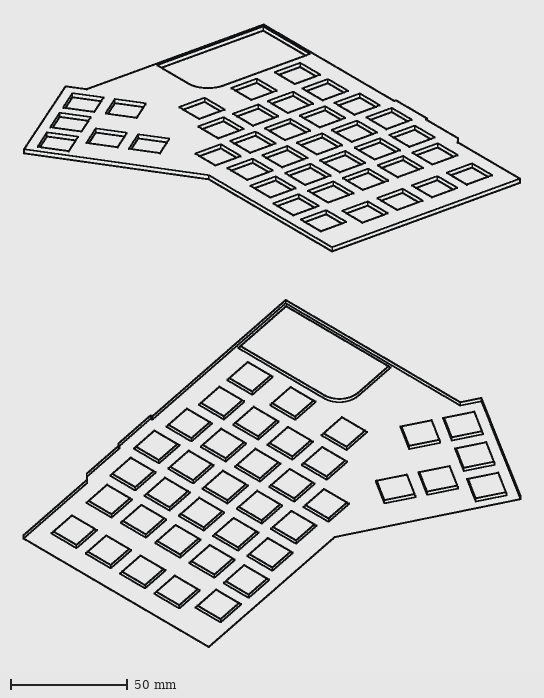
import cadquery as cq
import math

thickness = 2.0
key_pitch = 19.0
switch_size = 14.0

left_x = 7.7
right_x = 188.5
top_y = 152.7
right_top_y = 150.2
bottom_y = 47.3
step_start_x = 142.7
step_end_x = step_start_x + top_y - right_top_y

tab_left_x = 98.2
tab_right_x = 120.0
tab_top_y = 153.6

thumb_tilt = 35.0
thumb_tip_x = 34.9
wing_left_y = 50.3
wing_notch_y = wing_left_y + left_x * math.tan(math.radians(thumb_tilt))
wing_knee_x = 103.0

window_left_x = 9.0
window_right_x = 41.5
window_top_y = 151.3
window_bottom_y = 93.3
window_radius = 10.5

middle_x = 109.7
middle_top_y = 140.8
inner_column_x = 52.4
column_stagger = 2.5
long_key_pitch = 1.25 * key_pitch
tall_key_pitch = 1.5 * key_pitch
first_thumb_key = (16.5, 47.0)


def main_key_centres():
    """Centres of the upright switch cutouts."""
    side_top_y = middle_top_y - 2 * column_stagger
    outer_x = middle_x + 2 * key_pitch + long_key_pitch

    columns = [(-2, 2, 4), (-1, 1, 5), (0, 0, 5), (1, 1, 5), (2, 2, 5)]
    centres = []
    for offset, steps, count in columns:
        x = middle_x + offset * key_pitch
        column_top_y = middle_top_y - steps * column_stagger
        centres += [(x, column_top_y - row * key_pitch) for row in range(count)]

    centres += [(outer_x, side_top_y - row * key_pitch) for row in range(4)]
    centres.append((middle_x + 3 * key_pitch, side_top_y - 4 * key_pitch))

    inner_second_y = side_top_y - long_key_pitch
    centres.append((inner_column_x, side_top_y))
    centres.append((inner_column_x, inner_second_y))
    centres.append((inner_column_x, inner_second_y - tall_key_pitch))
    return centres


def thumb_key_centres():
    """Centres of the tilted switch cutouts, laid out on a rotated key grid."""
    grid = [(0, 0), (1, 0), (0, -1), (0, -2), (1, -1.5), (2, -1.5)]
    cos_tilt = math.cos(math.radians(thumb_tilt))
    sin_tilt = math.sin(math.radians(thumb_tilt))
    first_x, first_y = first_thumb_key
    return [
        (
            first_x + key_pitch * (across * cos_tilt - along * sin_tilt),
            first_y + key_pitch * (across * sin_tilt + along * cos_tilt),
        )
        for across, along in grid
    ]


def switch_cutouts(centres, angle):
    """Square through cutters at the given centres, turned by angle degrees."""
    squares = cq.Sketch().push(centres).rect(switch_size, switch_size, angle=angle)
    return cq.Workplane("XY").placeSketch(squares).extrude(thickness)


def plate_blank():
    """Solid plate with the thumb wing, top tab and stepped top edge."""
    outline = [
        (thumb_tip_x, 0),
        (wing_knee_x, bottom_y),
        (right_x, bottom_y),
        (right_x, right_top_y),
        (step_end_x, right_top_y),
        (step_start_x, top_y),
        (tab_right_x, top_y),
        (tab_right_x, tab_top_y),
        (tab_left_x, tab_top_y),
        (tab_left_x, top_y),
        (left_x, top_y),
        (left_x, wing_notch_y),
        (0, wing_left_y),
    ]
    return cq.Workplane("XY").polyline(outline).close().extrude(thickness)


def controller_window():
    """Through cutter for the window, with one rounded corner."""
    return (
        cq.Workplane("XY")
        .moveTo(window_left_x, window_bottom_y)
        .lineTo(window_right_x - window_radius, window_bottom_y)
        .radiusArc((window_right_x, window_bottom_y + window_radius), -window_radius)
        .lineTo(window_right_x, window_top_y)
        .lineTo(window_left_x, window_top_y)
        .close()
        .extrude(thickness)
    )


result = (
    plate_blank()
    .cut(controller_window())
    .cut(switch_cutouts(main_key_centres(), 0))
    .cut(switch_cutouts(thumb_key_centres(), thumb_tilt))
)